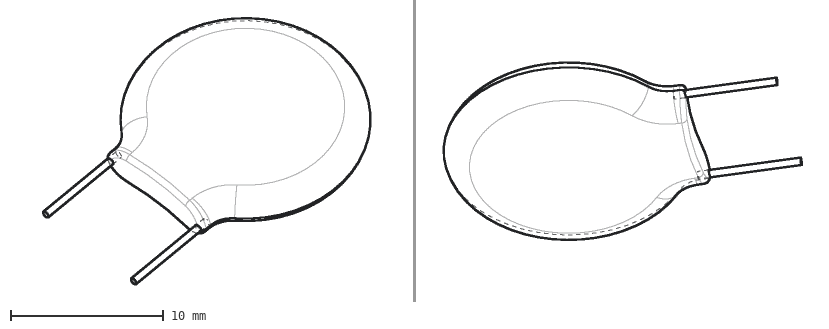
import cadquery as cq
import math

overall_width = 16.4
overall_length = 22.95
thickness = 2.75

disc_radius = overall_width / 2
half_thickness = thickness / 2
rim_width = 1.7
neck_half_width = 4.43
blend_radius = 1.93
neck_end_middle = -8.3
neck_end_radius = 22.95
neck_edge_fillet = 0.35

lead_diameter = 0.5
lead_spacing = 7.99
lead_depth = 0.45
lead_tip = disc_radius - overall_length
lead_top = neck_end_middle + lead_depth

blend_center_x = neck_half_width + blend_radius
blend_center_y = -math.sqrt((disc_radius + blend_radius) ** 2 - blend_center_x ** 2)
blend_angle = math.atan2(-blend_center_y, blend_center_x)
neck_trim = 0.92
neck_stub_end = neck_end_middle - neck_trim


def edge_path(inset):
    """Open outline of disc and neck, moved inwards by inset, from neck end to neck end."""
    disc = disc_radius - inset
    blend = blend_radius + inset
    side = neck_half_width - inset
    touch_x = disc * math.cos(blend_angle)
    touch_y = -disc * math.sin(blend_angle)
    mid_angle = math.pi - blend_angle / 2
    mid_x = blend_center_x + blend * math.cos(mid_angle)
    mid_y = blend_center_y + blend * math.sin(mid_angle)
    return (
        cq.Workplane("XY")
        .moveTo(-side, neck_stub_end)
        .lineTo(-side, blend_center_y)
        .threePointArc((-mid_x, mid_y), (-touch_x, touch_y))
        .threePointArc((0, disc), (touch_x, touch_y))
        .threePointArc((mid_x, mid_y), (side, blend_center_y))
        .lineTo(side, neck_stub_end)
    )


def make_rim():
    """Pointed round edge: two arcs tangent to the flat faces, meeting in a crease at mid height."""
    arc_radius = (rim_width ** 2 + half_thickness ** 2) / (2 * half_thickness)
    arc_angle = math.asin(rim_width / arc_radius) / 2
    flat_edge = -neck_half_width + rim_width
    mid_x = flat_edge - arc_radius * math.sin(arc_angle)
    mid_z = half_thickness - arc_radius * (1 - math.cos(arc_angle))
    section = (
        cq.Workplane("XZ", origin=(0, neck_stub_end, 0))
        .moveTo(flat_edge, -half_thickness)
        .threePointArc((mid_x, -mid_z), (-neck_half_width, 0))
        .threePointArc((mid_x, mid_z), (flat_edge, half_thickness))
        .close()
    )
    return section.sweep(edge_path(0))


def make_core():
    """Flat-faced middle of the coating, inside the rim."""
    return edge_path(rim_width).close().extrude(half_thickness, both=True)


def make_lead(x):
    """Straight round wire along Y."""
    return (
        cq.Workplane("XZ", origin=(x, lead_top, 0))
        .circle(lead_diameter / 2)
        .extrude(lead_top - lead_tip)
    )


def make_coating(leads):
    """Disc and neck, with a hollow rounded neck end and a blind hole for each lead."""
    hollow = (
        cq.Workplane("XY")
        .center(0, neck_end_middle - neck_end_radius)
        .circle(neck_end_radius)
        .extrude(thickness, both=True)
    )
    coating = make_rim().union(make_core()).cut(hollow)
    coating = coating.faces("<Y").edges().fillet(neck_edge_fillet)
    for lead in leads:
        coating = coating.cut(lead)
    return coating


leads = [make_lead(side * lead_spacing / 2) for side in (-1, 1)]
coating = make_coating(leads)

result = cq.Compound.makeCompound([coating.val(), *[lead.val() for lead in leads]])